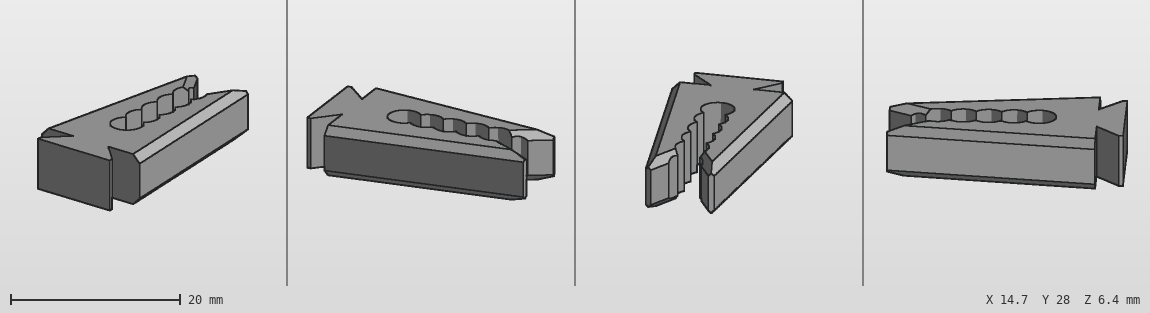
import cadquery as cq
import math

length = 27.97
width = 14.65
thickness = 6.4
side_taper = math.radians(7.3)
edge_chamfer = 0.98

foot_width = 10.75
foot_lip = 0.5
shoulder_y = 3.25
neck_width = foot_width - 2 * (shoulder_y - foot_lip)

hole_radius = 2.0
hole_pitch = 3.0
hole_count = 6
first_hole_y = 10.13
mouth_half_angle = math.radians(30)
tip_gap = 7.0
tip_drop = 0.1

overrun = 0.55

shoulder_corner = (width / 2, shoulder_y)
inner_tip = (tip_gap / 2, length)
mouth_root = (0, length - tip_gap / 2 / math.tan(mouth_half_angle))

outer_tip_y = length - tip_drop
outer_tip = (width / 2 - (outer_tip_y - shoulder_y) * math.tan(side_taper), outer_tip_y)


def half_body():
    """Right-hand half of the body, centred on Z = 0."""
    outline = [
        (0, 0),
        (foot_width / 2, 0),
        (foot_width / 2, foot_lip),
        (neck_width / 2, shoulder_y),
        shoulder_corner,
        outer_tip,
        inner_tip,
        mouth_root,
    ]
    return cq.Workplane("XY").polyline(outline).close().extrude(thickness / 2, both=True)


def chamfer_cutter(start, end, extend_start, extend_end):
    """Wedges chamfering the top and bottom edges of a wall; material lies left of start to end."""
    run = math.hypot(end[0] - start[0], end[1] - start[1])
    along = ((end[0] - start[0]) / run, (end[1] - start[1]) / run)
    inward = (-along[1], along[0])
    origin = (start[0] - extend_start * along[0], start[1] - extend_start * along[1], 0)
    section = cq.Plane(origin=origin, xDir=(inward[0], inward[1], 0), normal=(along[0], along[1], 0))
    reach = edge_chamfer + overrun
    cutter = cq.Workplane(section)
    for side in (1, -1):
        face = side * thickness / 2
        wedge = [
            (-overrun, face - side * reach),
            (reach, face + side * overrun),
            (-overrun, face + side * overrun),
        ]
        cutter = cutter.polyline(wedge).close()
    return cutter.extrude(run + extend_start + extend_end)


def jaw_holes():
    """Row of overlapping through holes along the centreline."""
    centres = [(0, first_hole_y + i * hole_pitch) for i in range(hole_count)]
    holes = cq.Workplane("XY")
    for x, y in centres:
        hole = cq.Workplane("XY").center(x, y).circle(hole_radius).extrude(thickness / 2, both=True)
        holes = holes.add(hole)
    return holes.combine()


half = half_body()
half = half.cut(chamfer_cutter(shoulder_corner, outer_tip, overrun, overrun))
half = half.cut(chamfer_cutter(inner_tip, mouth_root, overrun, 0))
body = half.union(half.mirror("YZ"))
result = body.cut(jaw_holes())